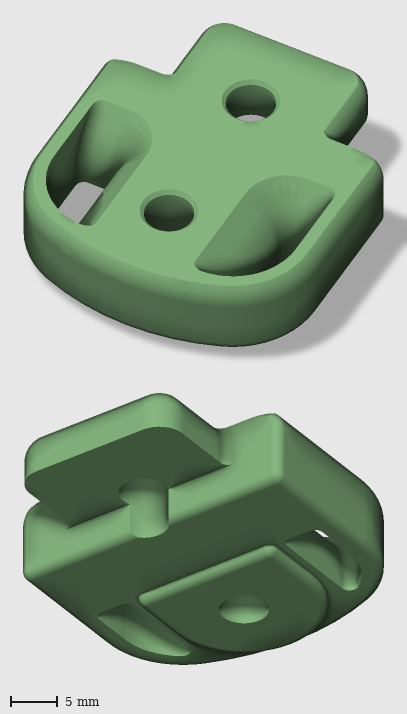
import cadquery as cq
import math


half_width = 17.0
tab_half_width = 10.0
hole_margin = 10.0
hole_spacing = 18.47
front_y = -hole_margin
back_y = hole_spacing + hole_margin
tab_length = 11.0
shoulder_y = back_y - tab_length
front_radius = 28.85
side_radius = 10.0
tab_corner_radius = 3.0
small_radius = 1.0

side_arc_x = half_width - side_radius
front_arc_y = front_y + front_radius
arc_centre_gap = front_radius - side_radius
side_arc_y = front_arc_y - math.sqrt(arc_centre_gap**2 - side_arc_x**2)

body_depth = 9.0
tab_depth = 5.0
pad_height = 1.0

edge_radius = 3.0
edge_drop = 2.27
crown = edge_radius - edge_drop
edge_bevel = 0.08

hole_diameter = 5.4
countersink_diameter = 6.25
countersink_angle = 90

pad_radius = 8.95
pad_back_y = 7.5
pad_edge_radius = 0.95

rim_width = 2.4
pocket_step = 2.0
pocket_turn_x = 11.0
pocket_turn_y = 6.1
window_corner_radius = 1.0

overshoot = 1.92
block_size = 4 * back_y
tolerance = 0.05
Box = cq.selectors.BoxSelector


def above(z):
    """Large block filling the space above a height."""
    block = cq.Workplane("XY").box(block_size, block_size, block_size)
    return block.translate((0, 0, z + block_size / 2))


def behind(y):
    """Large block filling the space behind a plane of constant Y."""
    block = cq.Workplane("XY").box(block_size, block_size, block_size)
    return block.translate((0, y + block_size / 2, 0))


def bevelled(solid):
    return solid.cut(above(0)).faces(">Z").edges().chamfer(edge_bevel)


def make_main():
    """Wide body with the arched front and a flat shoulder at the back."""
    lean = math.asin(side_arc_x / arc_centre_gap)
    middle_angle = (lean + math.pi / 2) / 2
    middle_x = side_arc_x + side_radius * math.sin(middle_angle)
    middle_y = side_arc_y - side_radius * math.cos(middle_angle)
    tangent_x = front_radius * math.sin(lean)
    tangent_y = front_arc_y - front_radius * math.cos(lean)

    main = (
        cq.Workplane("XY", origin=(0, 0, -body_depth))
        .moveTo(half_width, back_y)
        .lineTo(half_width, side_arc_y)
        .threePointArc((middle_x, middle_y), (tangent_x, tangent_y))
        .threePointArc((0, front_y), (-tangent_x, tangent_y))
        .threePointArc((-middle_x, middle_y), (-half_width, side_arc_y))
        .lineTo(-half_width, back_y)
        .close()
        .extrude(body_depth + crown)
    )
    main = bevelled(main.faces(">Z").edges().fillet(edge_radius))

    main = main.cut(behind(shoulder_y))
    shoulder_ends = main.faces(">Y").edges("not |X").vals()
    main = main.newObject(shoulder_ends).fillet(small_radius)
    return main.faces("<Z").edges().fillet(small_radius)


def make_tab():
    """Narrow tab at the back, with a filleted neck where its sides meet the shoulder."""
    block = (
        cq.Workplane("XY", origin=(0, 0, -tab_depth))
        .rect(2 * tab_half_width, 2 * back_y)
        .extrude(tab_depth + crown)
        .edges("|Z and >Y")
        .fillet(tab_corner_radius)
        .faces(">Z").edges()
        .fillet(edge_radius)
    )
    neck_end = shoulder_y + small_radius
    neck_start = shoulder_y - small_radius

    wall_half_width = tab_half_width + 2 * small_radius
    wall = (
        cq.Workplane("XY", origin=(0, 0, -tab_depth))
        .box(2 * wall_half_width, small_radius, 2 * tab_depth, centered=(True, False, False))
        .translate((0, neck_start, 0))
    )
    neck_corners = Box(
        (-tab_half_width - tolerance, shoulder_y - tolerance, -tab_depth + tolerance),
        (tab_half_width + tolerance, shoulder_y + tolerance, crown + tolerance),
    )
    neck = block.intersect(behind(neck_start)).union(wall).edges(neck_corners).fillet(small_radius)
    neck = neck.cut(above(0)).cut(behind(neck_end))

    return bevelled(block).intersect(behind(neck_end)).union(neck)


def make_pad():
    """Low pad: semicircular front, straight sides, rounded back corners and bottom edge."""
    pad = (
        cq.Workplane("XY", origin=(0, 0, -body_depth - pad_height))
        .moveTo(-pad_radius, 0)
        .threePointArc((0, -pad_radius), (pad_radius, 0))
        .lineTo(pad_radius, pad_back_y)
        .lineTo(-pad_radius, pad_back_y)
        .close()
        .extrude(pad_height + overshoot)
    )
    pad = pad.edges("|Z and >Y").fillet(small_radius)
    return pad.faces("<Z").edges().fillet(pad_edge_radius)


def make_pocket():
    """Cutting body of the right-hand pocket: a funnel bounded outside by an upright rim wall."""
    bottom = -body_depth - overshoot
    height = overshoot - bottom
    turn_radius = window_corner_radius + 2 * pocket_step
    curve_radius = pocket_step / (1 - math.cos(math.pi / 4))
    curve_end = -pocket_step - curve_radius * math.sin(math.pi / 4)
    curve_middle = (
        window_corner_radius + curve_radius * (1 - math.cos(math.pi / 8)),
        curve_end + curve_radius * math.sin(math.pi / 8),
    )

    def section(outward):
        """Funnel section in the upright plane holding the turn axis and the outward direction."""
        plane = cq.Plane((pocket_turn_x, pocket_turn_y, 0), xDir=outward, normal=(outward[1], -outward[0], 0))
        return (
            cq.Workplane(plane)
            .lineTo(0, overshoot)
            .lineTo(turn_radius + overshoot, overshoot)
            .lineTo(turn_radius - pocket_step, -pocket_step)
            .threePointArc(curve_middle, (window_corner_radius, curve_end))
            .lineTo(window_corner_radius, bottom)
            .lineTo(0, bottom)
            .close()
        )

    inward = (-1, 0, 0)
    backward = (0, 1, 0)
    turn = section(inward).revolve(90, (0, 0, 0), (0, -1, 0))
    inner_wall = section(inward).extrude(-back_y)
    back_wall = section(backward).extrude(back_y)
    window = (
        cq.Workplane("XY", origin=(pocket_turn_x, pocket_turn_y - back_y, bottom))
        .box(back_y, back_y, height, centered=False)
    )
    funnel = turn.union(inner_wall).union(back_wall).union(window)

    rim_x = half_width - rim_width
    rim_side = (
        cq.Workplane("XY", origin=(0, side_arc_y, bottom))
        .box(rim_x, back_y, height, centered=False)
    )
    rim_front = (
        cq.Workplane("XY", origin=(side_arc_x, side_arc_y, bottom))
        .circle(side_radius - rim_width)
        .extrude(height)
    )
    pocket = funnel.intersect(rim_side.union(rim_front))

    low = bottom + tolerance
    high = overshoot - tolerance
    back_faces = Box((pocket_turn_x, pocket_turn_y, low), (rim_x, back_y, high))
    back_edges = Box((rim_x - tolerance, pocket_turn_y, low), (rim_x + tolerance, back_y, high))
    inner_faces = Box((0, side_arc_y - side_radius / 2, low), (pocket_turn_x, pocket_turn_y, high))
    front_edges = Box((0, front_y, low), (pocket_turn_x, side_arc_y - side_radius / 2, high))
    pocket = pocket.faces(back_faces).edges(back_edges).fillet(small_radius)
    return pocket.faces(inner_faces).edges(front_edges).fillet(small_radius)


body = make_main().union(make_tab()).union(make_pad())
pocket = make_pocket()
pocketed = body.cut(pocket).cut(pocket.mirror("YZ"))
result = (
    pocketed.faces(">Z")
    .workplane(origin=(0, 0, 0))
    .pushPoints([(0, 0), (0, hole_spacing)])
    .cskHole(hole_diameter, countersink_diameter, countersink_angle)
)